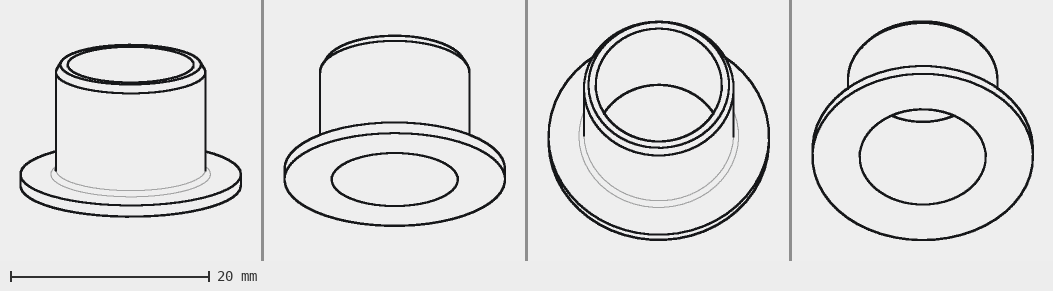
import cadquery as cq
import math

flange_diameter = 22.225
sleeve_diameter = 15.08
bore_diameter = 12.7
total_height = 12.7
flange_thickness = 1.19
root_fillet_radius = 0.5
lead_in_height = 0.8
lead_in_angle = 30

flange_radius = flange_diameter / 2
sleeve_radius = sleeve_diameter / 2
bore_radius = bore_diameter / 2
lead_in_width = lead_in_height * math.tan(math.radians(lead_in_angle))


def bushing_profile():
    """Half section of the flanged bushing, in the XZ plane."""
    return (
        cq.Workplane("XZ")
        .moveTo(bore_radius, 0)
        .lineTo(flange_radius, 0)
        .lineTo(flange_radius, flange_thickness)
        .lineTo(sleeve_radius + root_fillet_radius, flange_thickness)
        .radiusArc((sleeve_radius, flange_thickness + root_fillet_radius), root_fillet_radius)
        .lineTo(sleeve_radius, total_height - lead_in_height)
        .lineTo(sleeve_radius - lead_in_width, total_height)
        .lineTo(bore_radius, total_height)
        .close()
    )


result = bushing_profile().revolve(360, (0, 0, 0), (0, 1, 0))